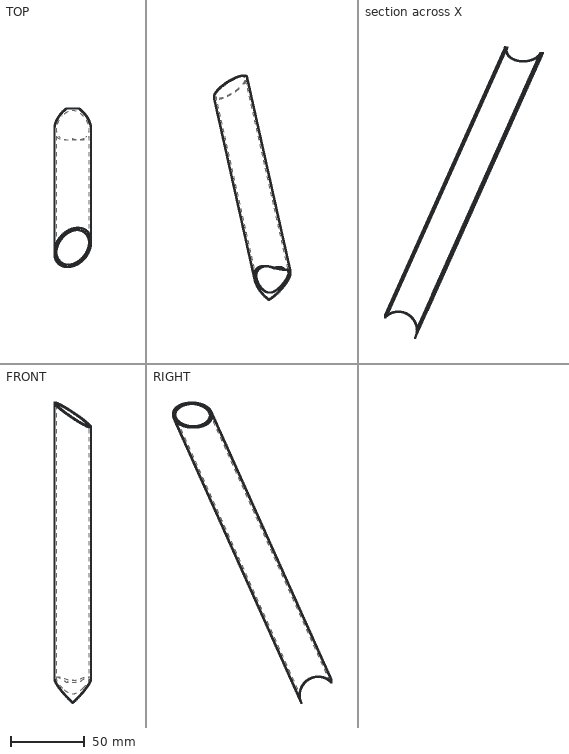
import cadquery as cq
import math

tube_diameter = 25.0
wall = 1.5
tilt = 24.15
axis_length = 207.75
mitre_fall_x = 0.71
mitre_rise_y = 0.16
tip_trim_y = 9.1

tube_radius = tube_diameter / 2
saddle_radius = tube_radius
mitre_margin = 2 * tube_diameter
tilt_angle = math.radians(tilt)
axis = cq.Vector(0, -math.sin(tilt_angle), math.cos(tilt_angle))


def tilted_tube():
    """Round tube with a square lower end at the origin, long enough to be mitred."""
    base = cq.Plane(origin=(0, 0, 0), xDir=(1, 0, 0), normal=axis.toTuple())
    profile = cq.Workplane(base).circle(tube_radius).circle(tube_radius - wall)
    return profile.extrude(axis_length + mitre_margin)


def saddle():
    """Cylinder along X through the origin that copes the lower end."""
    return cq.Workplane("YZ").circle(saddle_radius).extrude(tube_diameter, both=True)


def tip_trim():
    """Block beyond a plane normal to Y that blunts the +Y tip of the saddle."""
    block_side = 2 * tube_diameter
    block = cq.Workplane("XY").box(block_side, block_side, block_side, centered=(True, False, True))
    return block.translate((0, tip_trim_y, 0))


def mitre():
    """Block above the sloping plane that trims the upper end."""
    plane = cq.Plane(
        origin=(axis * axis_length).toTuple(),
        xDir=(1, 0, -mitre_fall_x),
        normal=(mitre_fall_x, -mitre_rise_y, 1),
    )
    block_side = 4 * mitre_margin
    return cq.Workplane(plane).rect(block_side, block_side).extrude(block_side)


result = tilted_tube().cut(saddle()).cut(tip_trim()).cut(mitre()).solids()